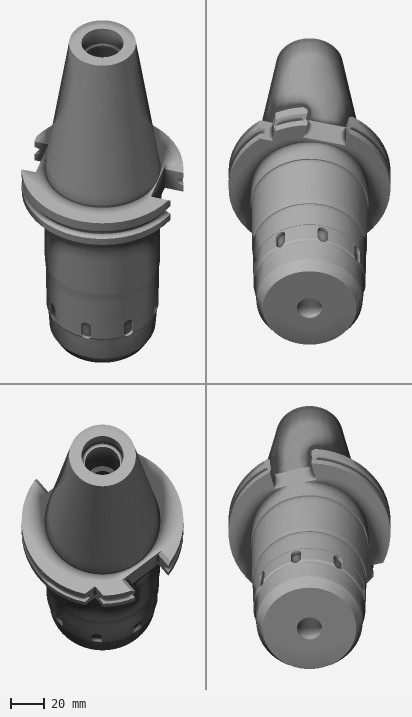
import cadquery as cq

total_length = 236.8
gauge_z = 135.5
flange_top_z = 133.8
flange_bottom_z = 116.0
collar_bottom_z = 100.1
band_top_z = 62.3
band_bottom_z = 58.0
nut_top_z = 38.0
nut_edge_top_z = 24.9
nut_edge_bottom_z = 23.5
nose_chamfer_z = 7.0

gauge_diameter = 69.8
gauge_radius = gauge_diameter / 2
taper_per_length = 7 / 24
shank_top_radius = gauge_radius - (total_length - gauge_z) * taper_per_length / 2

collar_radius = 35.5
body_radius = 34.8
band_radius = 34.5
sleeve_radius = 34.0
nut_radius = 33.9
nut_edge_radius = 33.1
nose_radius = 32.0
nose_tip_radius = 28.2

flange_radius = 48.8
groove_floor_radius = 45.7
groove_center_z = 124.0
groove_floor_width = 3.5
groove_mouth_width = 6.5

drive_slot_width = 25.8
drive_slot_chamfer = 2.4
left_slot_floor = 37.5
right_slot_floor = 35.3
notch_x = 30.3
notch_y = 30.3

mouth_bore_diameter = 25.3
mouth_bore_depth = 12.0
thread_bore_radius = 10.7
thread_bore_depth = 42.5
through_radius = 7.5

spanner_slot_count = 8
spanner_slot_width = 6.5
spanner_slot_bottom_z = 23.5
spanner_slot_top_z = 36.7
spanner_slot_floor = 31.3


def make_holder():
    """Solid of revolution: nut, body, grooved flange and taper shank."""
    mouth_half = groove_mouth_width / 2
    floor_half = groove_floor_width / 2
    outline = [
        (0, 0),
        (nose_tip_radius, 0),
        (nose_radius, nose_chamfer_z),
        (nut_edge_radius, nut_edge_bottom_z),
        (nut_radius, nut_edge_top_z),
        (nut_radius, nut_top_z),
        (sleeve_radius, nut_top_z),
        (sleeve_radius, band_bottom_z),
        (band_radius, band_bottom_z),
        (body_radius, band_top_z),
        (body_radius, collar_bottom_z),
        (collar_radius, collar_bottom_z),
        (collar_radius, flange_bottom_z),
        (flange_radius, flange_bottom_z),
        (flange_radius, groove_center_z - mouth_half),
        (groove_floor_radius, groove_center_z - floor_half),
        (groove_floor_radius, groove_center_z + floor_half),
        (flange_radius, groove_center_z + mouth_half),
        (flange_radius, flange_top_z),
        (gauge_radius, flange_top_z),
        (gauge_radius, gauge_z),
        (shank_top_radius, total_length),
        (0, total_length),
    ]
    return cq.Workplane("XZ").polyline(outline).close().revolve(360, (0, 0), (0, 1))


def make_drive_slot(side, floor_distance):
    """Cutter for a drive slot on the +X (side=1) or -X (side=-1) edge, its top edges chamfered."""
    half = drive_slot_width / 2
    section = [
        (-half, flange_bottom_z),
        (half, flange_bottom_z),
        (half, flange_top_z - drive_slot_chamfer),
        (half + drive_slot_chamfer, flange_top_z),
        (-half - drive_slot_chamfer, flange_top_z),
        (-half, flange_top_z - drive_slot_chamfer),
    ]
    return (
        cq.Workplane("YZ", origin=(side * floor_distance, 0, 0))
        .polyline(section)
        .close()
        .extrude(side * flange_radius)
    )


def make_notch():
    """Cutter for the square notch through the flange in the -X, +Y quarter."""
    return (
        cq.Workplane("XY", origin=(-notch_x, notch_y, flange_bottom_z))
        .rect(-flange_radius, flange_radius, centered=False)
        .extrude(flange_top_z - flange_bottom_z)
    )


def make_bore():
    """Cutter for the through hole and its two wider steps at the shank end."""
    bore = cq.Workplane("XY").circle(through_radius).extrude(total_length)
    for radius, depth in [
        (thread_bore_radius, thread_bore_depth),
        (mouth_bore_diameter / 2, mouth_bore_depth),
    ]:
        step = cq.Workplane("XY", origin=(0, 0, total_length - depth)).circle(radius).extrude(depth)
        bore = bore.union(step)
    return bore


def cut_spanner_slots(holder):
    """Cut the ring of round-ended upright slots into the nut."""
    slot_center_z = (spanner_slot_top_z + spanner_slot_bottom_z) / 2
    slot_length = spanner_slot_top_z - spanner_slot_bottom_z
    slot = (
        cq.Workplane("YZ", origin=(spanner_slot_floor, 0, slot_center_z))
        .slot2D(slot_length, spanner_slot_width, 90)
        .extrude(nut_radius)
    )
    for index in range(spanner_slot_count):
        angle = index * 360 / spanner_slot_count
        holder = holder.cut(slot.rotate((0, 0, 0), (0, 0, 1), angle))
    return holder


result = (
    make_holder()
    .cut(make_drive_slot(-1, left_slot_floor))
    .cut(make_drive_slot(1, right_slot_floor))
    .cut(make_notch())
    .cut(make_bore())
)
result = cut_spanner_slots(result)